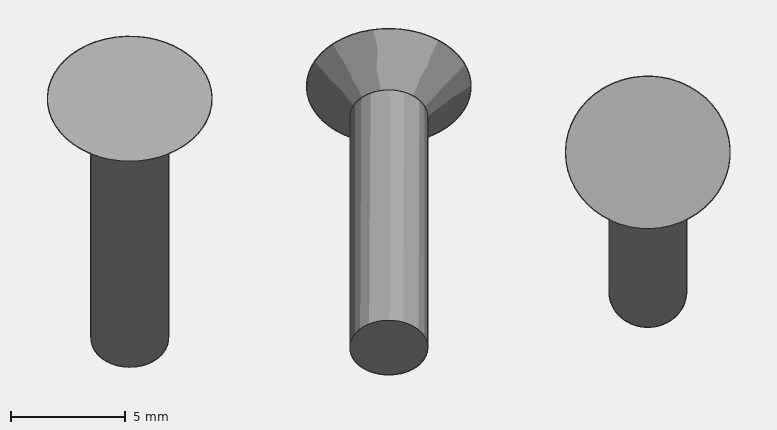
import cadquery as cq

total_height = 16.0
head_diameter = 7.2
shank_diameter = 3.4

head_radius = head_diameter / 2
shank_radius = shank_diameter / 2

head_height = head_radius - shank_radius
shank_height = total_height - head_height

half_section = (
    cq.Workplane("XZ")
    .lineTo(shank_radius, 0)
    .lineTo(shank_radius, shank_height)
    .lineTo(head_radius, total_height)
    .lineTo(0, total_height)
    .close()
)

result = half_section.revolve(360, (0, 0), (0, 1))